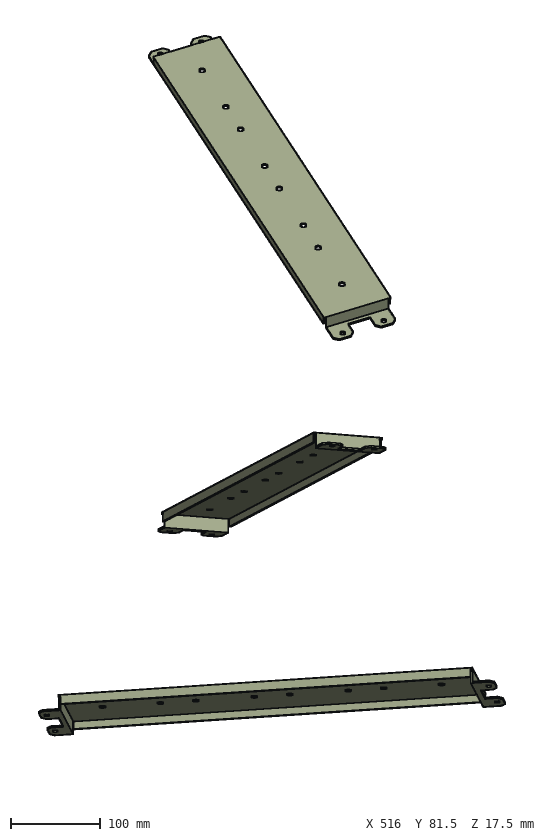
import cadquery as cq

length = 516.0
width = 81.5
height = 17.5

sheet = 2.0
plate_length = 468.5
flange_height = 11.0

end_width = 76.0
notch_width = 27.0
notch_edge_x = 239.0
foot_chamfer = 5.0

foot_hole_diameter = 5.5
foot_hole_x = 250.5
foot_hole_spacing = 50.0
plate_hole_diameter = 6.5
plate_hole_offsets = (20.0, 86.0, 126.5, 192.0)

foot_length = (length - plate_length) / 2
web_outer_x = plate_length / 2
web_inner_x = web_outer_x - sheet
foot_width = (end_width - notch_width) / 2
foot_y = (notch_width + foot_width) / 2


def block(x_min, x_max, y_size, z_min, z_size, y_center=0.0):
    """Box given by its X range, its Y size and centre, and its Z base and height."""
    box = cq.Workplane("XY").box(x_max - x_min, y_size, z_size, centered=(False, True, False))
    return box.translate((x_min, y_center, z_min))


def make_channel():
    """Top plate with a flange folded down along each long side."""
    channel = block(-web_outer_x, web_outer_x, width, height - sheet, sheet)
    for side in (-1, 1):
        flange_y = side * (width - sheet) / 2
        channel = channel.union(
            block(-web_inner_x, web_inner_x, sheet, height - flange_height, flange_height, flange_y)
        )
    hole_points = [(side * x, 0) for side in (-1, 1) for x in plate_hole_offsets]
    holes = cq.Workplane("XY").pushPoints(hole_points).circle(plate_hole_diameter / 2).extrude(height)
    return channel.cut(holes)


def make_right_bracket():
    """Web below the plate end, with a notched strip and two drilled feet."""
    bracket = block(web_inner_x, web_outer_x, end_width, 0, height)
    bracket = bracket.union(block(web_inner_x, notch_edge_x, end_width, 0, sheet))
    for side in (-1, 1):
        foot = block(web_outer_x, web_outer_x + foot_length, foot_width, 0, sheet, side * foot_y)
        bracket = bracket.union(foot.edges("|Z and >X").chamfer(foot_chamfer))
    hole_points = [(foot_hole_x, side * foot_hole_spacing / 2) for side in (-1, 1)]
    holes = cq.Workplane("XY").pushPoints(hole_points).circle(foot_hole_diameter / 2).extrude(sheet)
    return bracket.cut(holes)


right_bracket = make_right_bracket()
left_bracket = right_bracket.mirror("YZ")
result = make_channel().union(right_bracket).union(left_bracket)